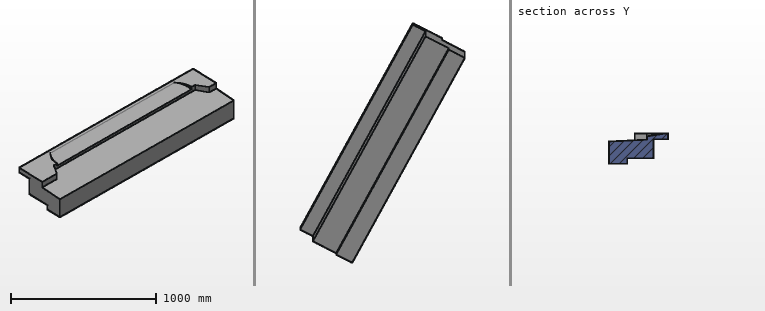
import cadquery as cq

length = 1659.0
width = 406.0
height = 209.0

flange_thickness = 41.0
flange_overhang = 100.0
body_depth = 173.0
lip_start = 280.0
ledge_start = 230.0
ledge_inner_depth = 46.0
ledge_outer_depth = 55.0

notch_start = 146.0
notch_near_margin = 140.0
notch_far_margin = 68.0
notch_taper = 53.0

recess_start = 25.0
recess_depth = 20.0
recess_near_margin = 224.0
recess_far_margin = 155.0
recess_corner_rise = 51.0

flange_underside = height - flange_thickness
body_underside = height - body_depth
ledge_slope = (ledge_outer_depth - ledge_inner_depth) / (width - ledge_start)


def ledge_height(x):
    """Height of the sloping ledge plane at a position across the part."""
    return height - ledge_inner_depth - ledge_slope * (x - ledge_start)


def along_length(points):
    """Extrude an XZ outline over the full length, starting at Y = 0."""
    return cq.Workplane("XZ").polyline(points).close().extrude(-length)


def stepped_body():
    return along_length([
        (0, height),
        (ledge_start, height),
        (ledge_start, ledge_height(ledge_start)),
        (width, ledge_height(width)),
        (width, 0),
        (lip_start, 0),
        (lip_start, body_underside),
        (flange_overhang, body_underside),
        (flange_overhang, flange_underside),
        (0, flange_underside),
    ])


def notch_cutter():
    """Trapezoid in plan, limited below by the ledge plane."""
    near_end = notch_near_margin
    far_end = length - notch_far_margin
    plan = (
        cq.Workplane("XY")
        .polyline([
            (ledge_start, near_end),
            (notch_start, near_end + notch_taper),
            (notch_start, far_end - notch_taper),
            (ledge_start, far_end),
        ])
        .close()
        .extrude(height)
    )
    above_ledge = along_length([
        (notch_start, height),
        (notch_start, ledge_height(notch_start)),
        (ledge_start, ledge_height(ledge_start)),
        (ledge_start, height),
    ])
    return plan.intersect(above_ledge)


def recess_cutter():
    """Plan with rounded ends, limited below by a plane falling toward the notch."""
    run = notch_start - recess_start
    corner_radius = (run**2 + recess_corner_rise**2) / (2 * recess_corner_rise)
    near_end = recess_near_margin
    far_end = length - recess_far_margin
    plan = (
        cq.Workplane("XY")
        .moveTo(notch_start, near_end)
        .lineTo(notch_start, far_end)
        .radiusArc((recess_start, far_end - recess_corner_rise), -corner_radius)
        .lineTo(recess_start, near_end + recess_corner_rise)
        .radiusArc((notch_start, near_end), -corner_radius)
        .close()
        .extrude(height)
    )
    above_slope = along_length([
        (recess_start, height),
        (notch_start, height - recess_depth),
        (notch_start, height),
    ])
    return plan.intersect(above_slope)


result = stepped_body().cut(notch_cutter()).cut(recess_cutter())